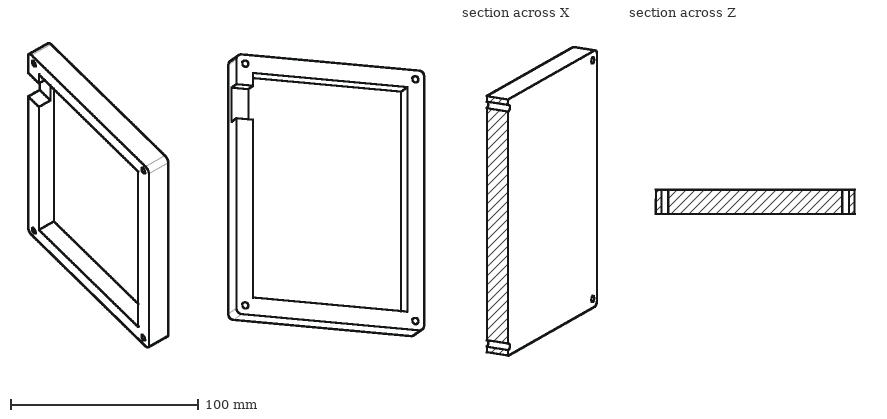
import cadquery as cq

width = 106.4
depth = 13.0
height = 143.4
corner_radius = 3.0

pocket_width = 87.5
pocket_height = 123.9
pocket_depth = 10.0

hole_diameter = 3.5
hole_inset = 5.0

notch_height = 18.8
notch_depth = 7.7
notch_top_offset = 16.8

wall = (width - pocket_width) / 2
front_y = -depth / 2


def box_from_front(size_x, size_y, size_z, center_x=0.0, center_z=0.0):
    """Box reaching size_y into the tray from its open face."""
    center_y = front_y + size_y / 2
    return cq.Workplane("XY").box(size_x, size_y, size_z).translate((center_x, center_y, center_z))


body = box_from_front(width, depth, height).edges("|Y").fillet(corner_radius)

body = body.cut(box_from_front(pocket_width, pocket_depth, pocket_height))

notch_x = -(width - wall) / 2
notch_z = height / 2 - notch_top_offset - notch_height / 2
body = body.cut(box_from_front(wall, notch_depth, notch_height, notch_x, notch_z))

holes = (
    cq.Workplane("XZ", origin=(0, -front_y, 0))
    .rarray(width - 2 * hole_inset, height - 2 * hole_inset, 2, 2)
    .circle(hole_diameter / 2)
    .extrude(depth)
)
result = body.cut(holes)